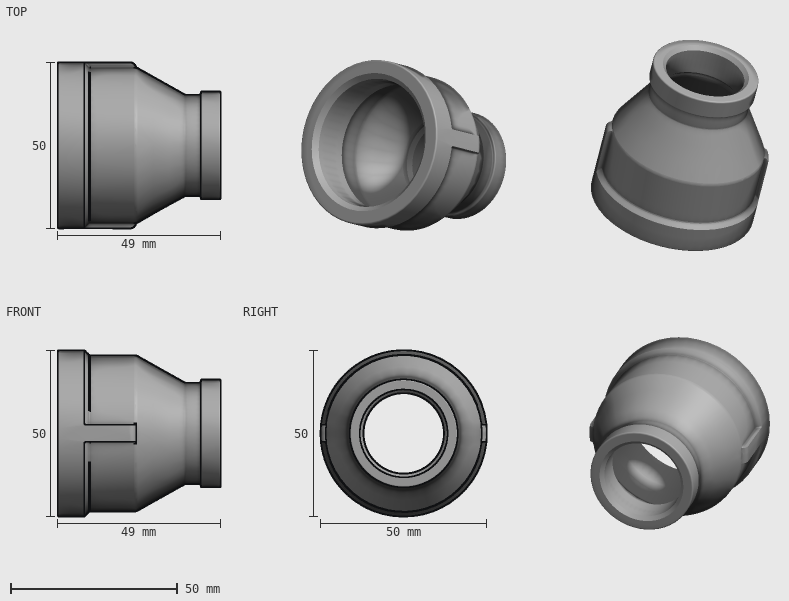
import cadquery as cq


overall_length = 49.0
collar_radius = 25.0
collar_length = 8.0
body_radius = 23.5
shoulder_rise = collar_radius - body_radius
body_end = 23.5

neck_radius = 30.5 / 2
neck_start = 38.25
small_collar_radius = 32.5 / 2
small_collar_start = 43.0

edge_fillet = 0.5
step_fillet = 0.45
cone_fillet = 2.0

rib_half_width = 2.55
rib_end = 23.6
rib_end_fillet = 2.0
rib_root_fillet = 0.5

large_mouth_radius = 20.95
large_bore_radius = 38.95 / 2
large_bore_end = 13.5
large_relief_radius = 42.6 / 2
large_relief_end = 22.95

small_mouth_radius = 13.2
small_bore_radius = 24.1 / 2
small_bore_start = 39.8
small_relief_radius = 13.2

cone_slope = (body_radius - neck_radius) / (neck_start - body_end)
small_relief_start = large_relief_end + (large_relief_radius - small_relief_radius) / cone_slope

clearance = 2.5


def revolve_about_x(points):
    return cq.Workplane("XY").polyline(points).close().revolve(360, (0, 0, 0), (1, 0, 0))


def circle_at(x, radius):
    """Select the circular edge of the given radius that lies in the plane at x."""
    tolerance = 0.005
    reach = radius + tolerance
    return cq.selectors.BoxSelector(
        (x - tolerance, -reach, -reach), (x + tolerance, reach, reach), boundingbox=True
    )


def make_body():
    """The turned outside, with stock left at collar radius where the recesses form the shoulder."""
    shoulder_stock_end = collar_length + 2 * shoulder_rise
    body = revolve_about_x([
        (0, 0),
        (0, collar_radius),
        (shoulder_stock_end, collar_radius),
        (shoulder_stock_end, body_radius),
        (body_end, body_radius),
        (neck_start, neck_radius),
        (small_collar_start, neck_radius),
        (small_collar_start, small_collar_radius),
        (overall_length, small_collar_radius),
        (overall_length, 0),
    ])
    rounded_edges = [
        (0, collar_radius, edge_fillet),
        (body_end, body_radius, cone_fillet),
        (neck_start, neck_radius, edge_fillet),
        (small_collar_start, neck_radius, step_fillet),
        (small_collar_start, small_collar_radius, step_fillet),
        (overall_length, small_collar_radius, edge_fillet),
    ]
    for x, radius, fillet in rounded_edges:
        body = body.edges(circle_at(x, radius)).fillet(fillet)
    return body


def make_rib_blanks():
    """Two bars of collar radius, wide enough for the ribs and their rounded roots."""
    start = collar_length / 2
    ring = revolve_about_x([(start, 0), (start, collar_radius), (rib_end, collar_radius), (rib_end, 0)])
    ring = ring.edges(circle_at(rib_end, collar_radius)).fillet(rib_end_fillet)
    blank_width = 2 * (rib_half_width + rib_root_fillet)
    return ring.intersect(cq.Workplane("XY").box(2 * overall_length, 3 * collar_radius, blank_width))


def make_recesses():
    """The space around the body, above and below the ribs, with rounded floor edges."""
    floor_start = collar_length + shoulder_rise
    space_start = collar_length - clearance
    space_end = rib_end + clearance
    outer_radius = collar_radius + clearance
    space = revolve_about_x([
        (space_start, outer_radius),
        (floor_start, body_radius),
        (space_end, body_radius),
        (space_end, outer_radius),
    ])
    space = space.cut(cq.Workplane("XY").box(2 * overall_length, 3 * outer_radius, 2 * rib_half_width))
    margin = 0.05
    between_ends = cq.selectors.BoxSelector(
        (space_start + margin, -outer_radius, -outer_radius),
        (space_end - margin, outer_radius, outer_radius),
    )
    return space.edges(between_ends).fillet(rib_root_fillet)


def make_bore():
    small_countersink = small_mouth_radius - small_bore_radius
    bore = revolve_about_x([
        (0, 0),
        (0, large_mouth_radius),
        (large_mouth_radius - large_bore_radius, large_bore_radius),
        (large_bore_end, large_bore_radius),
        (large_bore_end + large_relief_radius - large_bore_radius, large_relief_radius),
        (large_relief_end, large_relief_radius),
        (small_relief_start, small_relief_radius),
        (small_bore_start - small_relief_radius + small_bore_radius, small_relief_radius),
        (small_bore_start, small_bore_radius),
        (overall_length - small_countersink, small_bore_radius),
        (overall_length, small_mouth_radius),
        (overall_length, 0),
    ])
    bore = bore.edges(circle_at(large_relief_end, large_relief_radius)).fillet(cone_fillet)
    return bore.edges(circle_at(small_relief_start, small_relief_radius)).fillet(cone_fillet)


outside = make_body().union(make_rib_blanks()).cut(make_recesses())
result = outside.cut(make_bore())